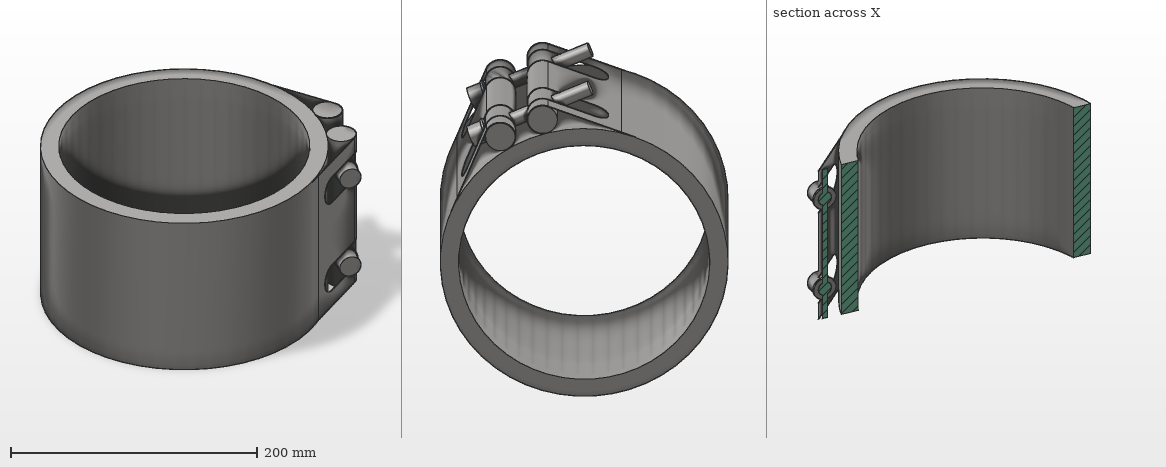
import cadquery as cq
import math

RING_OUTER_RADIUS = 233.8 / 2
RING_INNER_RADIUS = 204.0 / 2
RING_HEIGHT = 141.0

STRAP_THICKNESS = 0.6
STRAP_HEIGHT = 139.0
STRAP_TOP_Y = 140.13

PIN_RADIUS = 24.0 / 2
PIN_HEIGHT = 140.0
PIN_X = 18.75
WRAP_RADIUS = PIN_RADIUS + STRAP_THICKNESS
PIN_Y = STRAP_TOP_Y - WRAP_RADIUS

BOLT_Z = 42.3
SHANK_RADIUS = 12.0 / 2
SHANK_END_X = -61.0
WASHER_RADIUS = 20.0 / 2
WASHER_THICKNESS = 2.0
HEAD_RADIUS = 18.0 / 2
HEAD_LENGTH = 12.0
WASHER_SINK = 0.2
WASHER_X = PIN_X + PIN_RADIUS - WASHER_SINK

SLOT_RADIUS = 24.0 / 2
SLOT_END_Y = 99.7

PIN_DISTANCE = math.hypot(PIN_X, PIN_Y)
PIN_ANGLE = math.atan2(PIN_X, PIN_Y)
NORMAL_ANGLE = PIN_ANGLE + math.acos((RING_OUTER_RADIUS - WRAP_RADIUS) / PIN_DISTANCE)
NORMAL_X = math.sin(NORMAL_ANGLE)
NORMAL_Y = math.cos(NORMAL_ANGLE)


def upright_cylinder(x, y, radius, height):
    """Cylinder along Z, centred on the plane Z = 0."""
    return cq.Workplane("XY").center(x, y).circle(radius).extrude(height / 2, both=True)


def rod_along_x(start_x, end_x, radius, z):
    """Cylinder along +X that crosses the pin axes."""
    plane = cq.Plane(origin=(start_x, PIN_Y, z), xDir=(0, 1, 0), normal=(1, 0, 0))
    return cq.Workplane(plane).circle(radius).extrude(end_x - start_x)


def ring_point(radius):
    """Point at the given radius on the line from the ring centre to the strap tangent point."""
    return (radius * NORMAL_X, radius * NORMAL_Y)


def pin_point(direction_x, direction_y, radius):
    """Point at the given radius and direction from the axis of the pin on the +X side."""
    return (PIN_X + radius * direction_x, PIN_Y + radius * direction_y)


def make_ring():
    outer = upright_cylinder(0, 0, RING_OUTER_RADIUS, RING_HEIGHT)
    bore = upright_cylinder(0, 0, RING_INNER_RADIUS, RING_HEIGHT)
    return outer.cut(bore)


def make_strap():
    """Strap on the +X side: a flat, then a wrap over the pin and down to the ring."""
    to_ring_x = -math.sin(PIN_ANGLE)
    to_ring_y = -math.cos(PIN_ANGLE)
    strap = (
        cq.Workplane("XY")
        .moveTo(*ring_point(RING_OUTER_RADIUS))
        .lineTo(*pin_point(NORMAL_X, NORMAL_Y, WRAP_RADIUS))
        .threePointArc(pin_point(-1, 0, WRAP_RADIUS), pin_point(to_ring_x, to_ring_y, WRAP_RADIUS))
        .lineTo(*pin_point(to_ring_x, to_ring_y, PIN_RADIUS))
        .threePointArc(pin_point(-1, 0, PIN_RADIUS), pin_point(NORMAL_X, NORMAL_Y, PIN_RADIUS))
        .lineTo(*ring_point(RING_OUTER_RADIUS - STRAP_THICKNESS))
        .close()
        .extrude(STRAP_HEIGHT / 2, both=True)
    )
    for z in (-BOLT_Z, BOLT_Z):
        strap = strap.cut(make_slot_cutter(z))
    return strap


def make_slot_cutter(z):
    """Slot square to the strap, round at the ring end and open past the pin."""
    tangent_x, tangent_y = ring_point(RING_OUTER_RADIUS)
    plane = cq.Plane(
        origin=(tangent_x, tangent_y, z),
        xDir=(-NORMAL_Y, NORMAL_X, 0),
        normal=(NORMAL_X, NORMAL_Y, 0),
    )
    round_end = (SLOT_END_Y - tangent_y) / NORMAL_X
    arc_centre = round_end + SLOT_RADIUS
    open_end = PIN_DISTANCE
    depth = 2 * WRAP_RADIUS
    return (
        cq.Workplane(plane)
        .moveTo(arc_centre, -SLOT_RADIUS)
        .lineTo(open_end, -SLOT_RADIUS)
        .lineTo(open_end, SLOT_RADIUS)
        .lineTo(arc_centre, SLOT_RADIUS)
        .threePointArc((round_end, 0), (arc_centre, -SLOT_RADIUS))
        .close()
        .extrude(depth, both=True)
    )


def make_bolt(z):
    """Shank, washer and plain cylindrical head."""
    head_x = WASHER_X + WASHER_THICKNESS
    shank = rod_along_x(SHANK_END_X, head_x, SHANK_RADIUS, z)
    washer = rod_along_x(WASHER_X, head_x, WASHER_RADIUS, z)
    head = rod_along_x(head_x, head_x + HEAD_LENGTH, HEAD_RADIUS, z)
    return shank.union(washer).union(head)


result = make_ring()

right_strap = make_strap()
left_strap = right_strap.mirror("YZ")
result = result.union(right_strap).union(left_strap)

for pin_x in (-PIN_X, PIN_X):
    result = result.union(upright_cylinder(pin_x, PIN_Y, PIN_RADIUS, PIN_HEIGHT))

for bolt_z in (-BOLT_Z, BOLT_Z):
    result = result.union(make_bolt(bolt_z))